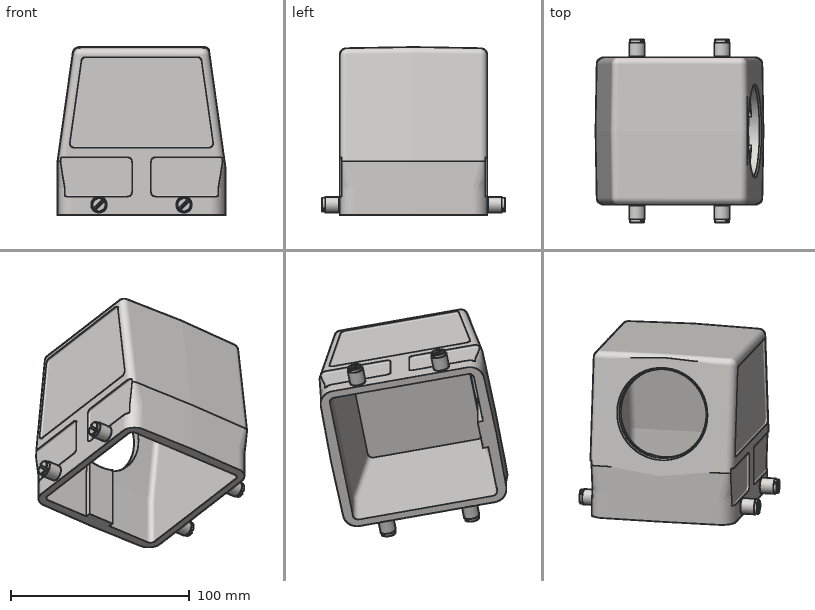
import cadquery as cq
import math

WIDTH = 94.0
DEPTH = 82.5
HEIGHT = 94.0
CROWN_ANGLE = 1.0
SLOPE_ANGLE = 8.0
SHOULDER_Z = 30.0
EDGE_RADIUS = 4.0
FOOT_RADIUS = 8.0
FOOT_BLEND_Z = 14.8

END_WALL = 6.0
SIDE_WALL = 4.0
ROOF_WALL = 4.0
CAVITY_RADIUS = 3.0
ENTRY_RIB_WIDTH = 16.0
ENTRY_RIB_THICKNESS = 3.0

ENTRY_DIAMETER = 50.0
ENTRY_CHAMFER = 1.0
ENTRY_Z = 61.0
ENTRY_FLAT_WIDTH = 57.5

RECESS_DEPTH = 1.3
RECESS_FLOOR_RADIUS = 0.6
RECESS_CORNER_RADIUS = 2.5
WINDOW_BOTTOM_Z = 37.7
WINDOW_TOP_Z = 88.3
WINDOW_BOTTOM_HALF = 40.4
PANEL_BOTTOM_Z = 10.4
PANEL_TOP_Z = 32.3
PANEL_GAP = 10.6

PIN_SPACING = 47.5
PIN_Z = 5.8
PIN_LENGTH = 10.0
PIN_DIAMETER = 8.8
PIN_TIP_DIAMETER = 8.0
PIN_TIP_LENGTH = 2.0
PIN_CHAMFER = 0.4
PIN_EMBED = 2.0
SLOT_WIDTH = 1.2
SLOT_DEPTH = 1.0
SLOT_ANGLE = 45.0

HALF_WIDTH = WIDTH / 2
HALF_DEPTH = DEPTH / 2
CROWN_SLOPE = math.tan(math.radians(CROWN_ANGLE))
CROWN_DROP = HALF_DEPTH * CROWN_SLOPE
ENTRY_FLAT_DEPTH = ENTRY_FLAT_WIDTH / 2 * CROWN_SLOPE
SLOPE = math.tan(math.radians(SLOPE_ANGLE))
MARGIN = 5.0


def end_x(z):
    """Half width of the sloping part at height z, on the crown line."""
    return HALF_WIDTH - (z - SHOULDER_Z) * SLOPE


def make_upper_half():
    """Front half above the shoulder, tapering from the crown at Y = 0 and rounded."""
    start_z = SHOULDER_Z - MARGIN
    half = (
        cq.Workplane("XZ")
        .polyline([
            (-end_x(start_z), start_z),
            (end_x(start_z), start_z),
            (end_x(HEIGHT), HEIGHT),
            (-end_x(HEIGHT), HEIGHT),
        ])
        .close()
        .extrude(HALF_DEPTH, taper=CROWN_ANGLE)
    )
    outer_border = half.faces("<Y").edges("not(<Z)")
    roof_ends = half.faces(">Z").edges("not(|X)")
    half = half.newObject(outer_border.vals() + roof_ends.vals()).fillet(EDGE_RADIUS)
    return half.cut(cq.Workplane("XY").rect(2 * WIDTH, 2 * DEPTH).extrude(SHOULDER_Z))


def foot_section(z, radius):
    """Horizontal outline below the shoulder with crowned ends and round corners."""
    corner_x = HALF_WIDTH - CROWN_DROP
    points = [
        (HALF_WIDTH, 0),
        (corner_x, HALF_DEPTH),
        (-corner_x, HALF_DEPTH),
        (-HALF_WIDTH, 0),
        (-corner_x, -HALF_DEPTH),
        (corner_x, -HALF_DEPTH),
    ]
    outline = cq.Wire.makePolygon([cq.Vector(x, y, z) for x, y in points], close=True)
    corners = [v for v in outline.Vertices() if abs(v.Y) > HALF_DEPTH / 2]
    return outline.fillet2D(radius, corners)


def entry_plane():
    """Plane on the flat facing, centred on the cable entry, normal pointing outward."""
    slope = math.radians(SLOPE_ANGLE)
    origin = (end_x(ENTRY_Z) - ENTRY_FLAT_DEPTH, 0, ENTRY_Z)
    return cq.Plane(origin=origin, xDir=(0, 1, 0), normal=(math.cos(slope), 0, math.sin(slope)))


def entry_facing():
    """Block standing outside the flat facing."""
    return cq.Workplane(entry_plane()).rect(2 * WIDTH, 2 * WIDTH).extrude(MARGIN)


def make_body():
    """Solid hood: rounded upper part, corner blend and foot, faced at the cable entry."""
    upper_half = make_upper_half()
    upper = upper_half.union(upper_half.mirror("XZ"))
    foot_outline = foot_section(0, FOOT_RADIUS)
    foot = cq.Workplane(cq.Solid.extrudeLinear(foot_outline, [], cq.Vector(0, 0, FOOT_BLEND_Z)))
    blend = cq.Workplane(cq.Solid.makeLoft(
        [foot_section(FOOT_BLEND_Z, FOOT_RADIUS), foot_section(SHOULDER_Z, EDGE_RADIUS)], True))
    return upper.union(blend).union(foot).cut(entry_facing())


def make_cavity():
    """Inner space, open at the bottom, leaving a rib below the cable entry."""
    top_z = HEIGHT - ROOF_WALL
    bottom_x = HALF_WIDTH - END_WALL
    top_x = end_x(top_z) - END_WALL
    cavity_depth = DEPTH - 2 * SIDE_WALL
    cavity = (
        cq.Workplane("XZ")
        .polyline([
            (-bottom_x, 0),
            (bottom_x, 0),
            (bottom_x, SHOULDER_Z),
            (top_x, top_z),
            (-top_x, top_z),
            (-bottom_x, SHOULDER_Z),
        ])
        .close()
        .extrude(cavity_depth / 2, both=True)
        .edges("not(#Z or |Y)")
        .fillet(CAVITY_RADIUS)
    )
    rib = (
        cq.Workplane("XY")
        .box(ENTRY_RIB_THICKNESS, ENTRY_RIB_WIDTH, ENTRY_Z, centered=(False, True, False))
        .translate((bottom_x - ENTRY_RIB_THICKNESS, 0, 0))
    )
    return cavity.cut(rib)


def make_entry_hole():
    """Cable entry bore with a chamfered mouth, square to the flat facing."""
    radius = ENTRY_DIAMETER / 2
    bore = cq.Workplane(entry_plane()).circle(radius).extrude(-(END_WALL + MARGIN))
    chamfer = cq.Solid.makeCone(
        radius + ENTRY_CHAMFER, radius, ENTRY_CHAMFER,
        entry_plane().origin, -entry_plane().zDir)
    return bore.union(cq.Workplane(chamfer))


def recess_tool(points, rounded):
    """Cutter for one recess in the front face; `rounded` selects its round corners."""
    plane = cq.Workplane("XZ", origin=(0, RECESS_DEPTH - HALF_DEPTH, 0))
    tool = plane.polyline(points).close().extrude(RECESS_DEPTH + MARGIN)
    tool = tool.edges("|Y").edges(rounded).fillet(RECESS_CORNER_RADIUS)
    return tool.faces(">Y").edges().fillet(RECESS_FLOOR_RADIUS)


def make_recesses():
    """Window and two side panels on the front face, repeated on the back face."""
    top_half = WINDOW_BOTTOM_HALF - (WINDOW_TOP_Z - WINDOW_BOTTOM_Z) * SLOPE
    window = recess_tool([
        (-WINDOW_BOTTOM_HALF, WINDOW_BOTTOM_Z),
        (WINDOW_BOTTOM_HALF, WINDOW_BOTTOM_Z),
        (top_half, WINDOW_TOP_Z),
        (-top_half, WINDOW_TOP_Z),
    ], "<Z or >Z or |Y")
    inner_x = PANEL_GAP / 2
    outer_x = HALF_WIDTH + MARGIN
    panel = recess_tool([
        (inner_x, PANEL_BOTTOM_Z),
        (outer_x, PANEL_BOTTOM_Z),
        (outer_x, PANEL_TOP_Z),
        (inner_x, PANEL_TOP_Z),
    ], "<X")
    front = [window, panel, panel.mirror("YZ")]
    return front + [tool.mirror("XZ") for tool in front]


def make_pin():
    """Pin on the front face, centred on X = 0."""
    shank_length = PIN_LENGTH - PIN_TIP_LENGTH
    root = cq.Workplane("XZ", origin=(0, PIN_EMBED - HALF_DEPTH, PIN_Z))
    shank = cq.Workplane("XZ", origin=(0, -HALF_DEPTH, PIN_Z))
    tip = shank.workplane(offset=shank_length)
    pin = root.circle(PIN_TIP_DIAMETER / 2).extrude(PIN_EMBED)
    pin = pin.union(shank.circle(PIN_DIAMETER / 2).extrude(shank_length).faces(">Y").chamfer(PIN_CHAMFER))
    pin = pin.union(tip.circle(PIN_TIP_DIAMETER / 2).extrude(PIN_TIP_LENGTH).faces("<Y").chamfer(PIN_CHAMFER))
    slot = (
        shank.workplane(offset=PIN_LENGTH - SLOT_DEPTH)
        .transformed(rotate=(0, 0, SLOT_ANGLE))
        .rect(2 * PIN_DIAMETER, SLOT_WIDTH)
        .extrude(SLOT_DEPTH + MARGIN)
    )
    return pin.cut(slot)


result = make_body().cut(make_cavity()).cut(make_entry_hole())
for recess in make_recesses():
    result = result.cut(recess)
for pin_x in (-PIN_SPACING / 2, PIN_SPACING / 2):
    pin = make_pin().translate((pin_x, 0, 0))
    result = result.union(pin).union(pin.mirror("XZ"))